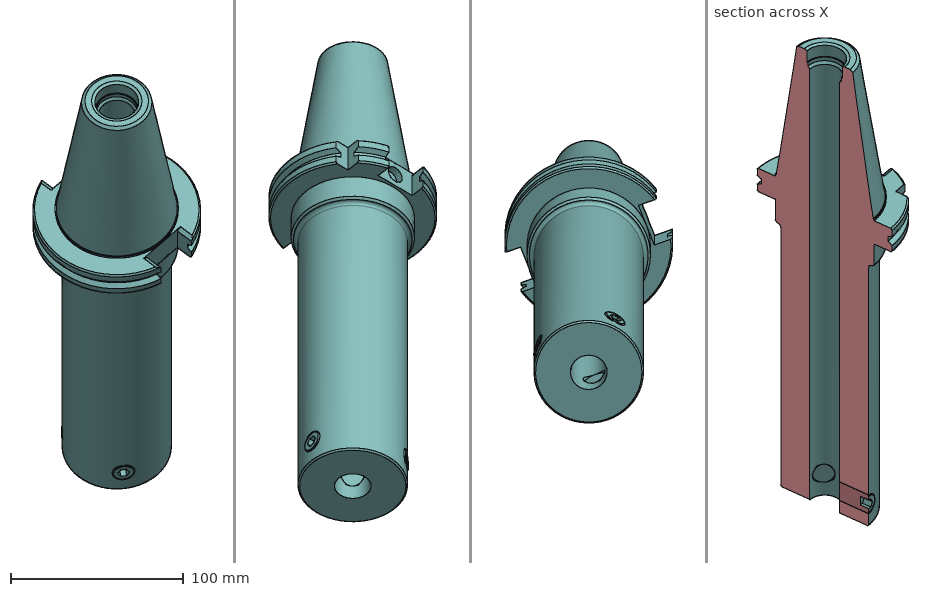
import cadquery as cq
import math

length = 330.5
body_radius = 31.7
body_end_chamfer = 1.0

taper_ratio = 7 / 24
gauge_z = 228.5
gauge_radius = 35.0
shank_edge_height = 1.3
shank_edge_width = 2.0

flange_radius = 48.5
flange_top = 227.0
flange_bottom = 209.5
flange_chamfer = 1.0
collar_radius = 35.7
groove_center_z = 218.2
groove_floor_radius = 45.5
groove_floor_width = 3.0
groove_mouth_width = 6.5

shoulder_bottom = 193.0
shoulder_chamfer = 1.3
neck_fillet = 2.3

bore_radius = 10.5
counterbore_radius = 12.5
counterbore_depth = 9.0
bore_step_radius = 12.0
bore_step_depth = 2.5
bore_cone_depth = 1.5
bore_edge_radius = 14.5
bore_edge_depth = 0.5

slot_width = 26.0
slot_floor_left = 37.5
slot_floor_right = collar_radius
slot_chamfer_width = 2.5
slot_chamfer_depth = 1.5
notch_corner = 29.5
chip_hole_diameter = 10.5
chip_hole_depth = 4.5
chip_point_diameter = 2.0
chip_point_depth = 1.0

screw_z = 16.2
screw_angles = (90, 220, 320)
screw_diameter = 13.2
screw_face_radius = body_radius
screw_edge_chamfer = 0.5
socket_sides = 6
socket_width = 6.0
socket_depth = 6.0


def revolve_profile(profile):
    """Turn a closed radius-height profile about the Z axis."""
    return profile.close().revolve(360, (0, 0, 0), (0, 1, 0))


def turned_blank():
    """Solid of revolution: body, shoulder, grooved flange and taper shank."""
    shank_edge_z = length - shank_edge_height
    shank_edge_radius = gauge_radius - (shank_edge_z - gauge_z) * taper_ratio / 2
    floor_top = groove_center_z + groove_floor_width / 2
    floor_bottom = groove_center_z - groove_floor_width / 2
    mouth_top = groove_center_z + groove_mouth_width / 2
    mouth_bottom = groove_center_z - groove_mouth_width / 2
    rim_radius = flange_radius - flange_chamfer
    neck_edge_radius = body_radius + neck_fillet
    fillet_mid_offset = neck_fillet * (1 - math.sqrt(0.5))

    profile = (
        cq.Workplane("XZ")
        .moveTo(0, 0)
        .lineTo(body_radius - body_end_chamfer, 0)
        .lineTo(body_radius, body_end_chamfer)
        .lineTo(body_radius, shoulder_bottom - neck_fillet)
        .threePointArc(
            (body_radius + fillet_mid_offset, shoulder_bottom - fillet_mid_offset),
            (neck_edge_radius, shoulder_bottom),
        )
        .lineTo(collar_radius - shoulder_chamfer, shoulder_bottom)
        .lineTo(collar_radius, shoulder_bottom + shoulder_chamfer)
        .lineTo(collar_radius, flange_bottom)
        .lineTo(rim_radius, flange_bottom)
        .lineTo(flange_radius, flange_bottom + flange_chamfer)
        .lineTo(flange_radius, mouth_bottom)
        .lineTo(groove_floor_radius, floor_bottom)
        .lineTo(groove_floor_radius, floor_top)
        .lineTo(flange_radius, mouth_top)
        .lineTo(flange_radius, flange_top - flange_chamfer)
        .lineTo(rim_radius, flange_top)
        .lineTo(collar_radius, flange_top)
        .lineTo(collar_radius, gauge_z)
        .lineTo(gauge_radius, gauge_z)
        .lineTo(shank_edge_radius, shank_edge_z)
        .lineTo(shank_edge_radius - shank_edge_width, length)
        .lineTo(0, length)
    )
    return revolve_profile(profile)


def central_bore():
    """Bore through the whole holder, stepped and countersunk at the shank end."""
    counterbore_floor = length - counterbore_depth
    step_bottom = counterbore_floor - bore_step_depth
    profile = (
        cq.Workplane("XZ")
        .moveTo(0, 0)
        .lineTo(bore_radius, 0)
        .lineTo(bore_radius, step_bottom - bore_cone_depth)
        .lineTo(bore_step_radius, step_bottom)
        .lineTo(bore_step_radius, counterbore_floor)
        .lineTo(counterbore_radius, counterbore_floor)
        .lineTo(counterbore_radius, length - bore_edge_depth)
        .lineTo(bore_edge_radius, length)
        .lineTo(0, length)
    )
    return revolve_profile(profile)


def drive_slot(side, floor_distance):
    """Slot through the flange on one side (+1 or -1 along X), with its top edges chamfered."""
    half = slot_width / 2
    half_top = half + slot_chamfer_width
    profile = (
        cq.Workplane("YZ", origin=(side * floor_distance, 0, 0))
        .moveTo(-half, flange_bottom)
        .lineTo(half, flange_bottom)
        .lineTo(half, flange_top - slot_chamfer_depth)
        .lineTo(half_top, flange_top)
        .lineTo(-half_top, flange_top)
        .lineTo(-half, flange_top - slot_chamfer_depth)
        .close()
    )
    return profile.extrude(side * flange_radius)


def orientation_notch():
    """Square corner cut through the flange at its -X, +Y side."""
    corner = (-notch_corner - flange_radius, notch_corner, flange_bottom)
    flange_thickness = flange_top - flange_bottom
    block = cq.Workplane("XY").box(flange_radius, flange_radius, flange_thickness, centered=False)
    return block.translate(corner)


def chip_hole():
    """Flat-bottomed hole in the floor of the -X slot, with a drill point at its centre."""
    plane = cq.Workplane("YZ", origin=(-slot_floor_left, 0, (flange_top + flange_bottom) / 2))
    hole = plane.circle(chip_hole_diameter / 2).extrude(chip_hole_depth)
    point = plane.circle(chip_point_diameter / 2).extrude(chip_hole_depth + chip_point_depth)
    return hole.union(point)


def screw_shaft():
    """Screw without its socket, lying along +X from the bore to the body surface."""
    return (
        cq.Workplane("YZ", origin=(bore_radius, 0, screw_z))
        .circle(screw_diameter / 2)
        .extrude(screw_face_radius - bore_radius)
        .faces(">X")
        .chamfer(screw_edge_chamfer)
    )


def screw():
    """Clamping screw with a hexagon socket in its outer end."""
    across_corners = socket_width / math.cos(math.pi / socket_sides)
    socket = (
        cq.Workplane("YZ", origin=(screw_face_radius, 0, screw_z))
        .polygon(socket_sides, across_corners)
        .extrude(-socket_depth)
    )
    return screw_shaft().cut(socket)


def screw_hole():
    """Radial hole from the axis out through the body wall, along +X."""
    return (
        cq.Workplane("YZ", origin=(0, 0, screw_z))
        .circle(screw_diameter / 2)
        .extrude(collar_radius)
    )


def at_angle(shape, angle):
    """Turn a shape about the Z axis by an angle in degrees."""
    return shape.rotate((0, 0, 0), (0, 0, 1), angle)


def holder_body():
    """The holder with all its cut features."""
    holder = (
        turned_blank()
        .cut(central_bore())
        .cut(drive_slot(-1, slot_floor_left))
        .cut(drive_slot(1, slot_floor_right))
        .cut(orientation_notch())
        .cut(chip_hole())
    )
    for angle in screw_angles:
        holder = holder.cut(at_angle(screw_hole(), angle))
    return holder


holder = holder_body()
screws = [at_angle(screw(), angle) for angle in screw_angles]

result = cq.Compound.makeCompound([holder.val(), *[one.val() for one in screws]])